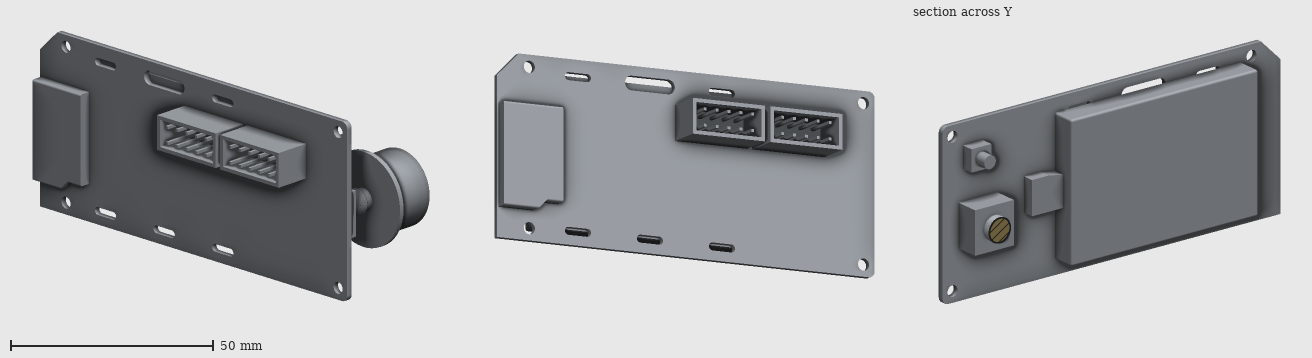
import cadquery as cq
import math


BOARD_LENGTH = 105.0
BOARD_HEIGHT = 47.0
BOARD_THICKNESS = 1.6
CORNER_CUT = 6.0
CORNER_RADIUS = 1.7
HOLE_DIAMETER = 3.1
HOLE_INSET_LEFT = 8.9
HOLE_INSET_RIGHT = 3.1
HOLE_INSET_Z = 3.1
FRONT_Y = -BOARD_THICKNESS

SLOT_LENGTH = 7.2
SLOT_WIDTH = 2.0
SLOT_MIDDLE_X = 42.5
SLOT_PITCH = 20.0
LOWER_SLOT_Z = 3.5
UPPER_SLOT_Z = 42.6
LONG_SLOT_LENGTH = 13.8
LONG_SLOT_WIDTH = 3.7

DISPLAY_LEFT = 11.9
DISPLAY_LENGTH = 58.1
DISPLAY_BOTTOM = 4.2
DISPLAY_TOP = 42.9
DISPLAY_DEPTH = 6.7
DISPLAY_FILLET = 0.6

BUZZER_LENGTH = 9.6
BUZZER_FLAT_LENGTH = 5.1
BUZZER_HEIGHT = 9.6
BUZZER_DEPTH = 3.2
BUZZER_SLOPE = 10.0

KNOB_X = 94.0
KNOB_Z = 20.0
ENCODER_SIDE = 12.0
ENCODER_DEPTH = 6.7
BUSHING_END = 13.5
BUSHING_RADIUS = 3.4
THREAD_PITCH = 0.5
THREAD_DEPTH = 0.2
RELIEF_RADIUS = 2.6
RELIEF_END = 14.1
SHAFT_RADIUS = 3.0
FLANGE_START = 15.8
FLANGE_END = 17.0
FLANGE_RADIUS = 12.5
SKIRT_RADIUS = 12.0
SKIRT_END = 19.6
GRIP_RADIUS = 10.1
KNOB_END = 29.2
KNOB_FILLET = 0.6

BUTTON_X = 95.6
BUTTON_Z = 37.8
BUTTON_SIDE = 6.2
BUTTON_BASE_DEPTH = 3.5
BUTTON_DIAMETER = 3.6
BUTTON_DEPTH = 7.0

CARD_LEFT = 0.3
CARD_RIGHT = 16.8
CARD_TOP = 34.0
CARD_BOTTOM = 7.7
CARD_STEP_Z = 9.9
CARD_STEP_START = 9.9
CARD_STEP_END = 12.1
CARD_DEPTH = 3.0
CARD_FILLET = 0.5

CONNECTOR_LENGTH = 20.0
CONNECTOR_HEIGHT = 9.0
CONNECTOR_DEPTH = 9.8
CONNECTOR_WALL = 1.0
CONNECTOR_Z = 33.7
CONNECTOR_CENTERS_X = (59.4, 80.9)
PIN_COLUMNS = 5
PIN_ROWS = 2
PIN_PITCH_X = 3.3
PIN_PITCH_Z = 4.2
PIN_SIDE = 0.7


def box_on(face_y, center_x, center_z, length, height, depth):
    """Block centred on (x, z) that starts at face_y; a negative depth grows toward -Y."""
    block = cq.Workplane("XY").box(length, abs(depth), height)
    return block.translate((center_x, face_y + depth / 2, center_z))


def face_points(*points):
    """Sketch plane on the display face of the board, carrying the given (x, z) points."""
    return cq.Workplane("XZ").pushPoints(points)


def make_board():
    board = (
        cq.Workplane("XZ")
        .polyline([
            (0, 0),
            (BOARD_LENGTH, 0),
            (BOARD_LENGTH, BOARD_HEIGHT),
            (CORNER_CUT, BOARD_HEIGHT),
            (0, BOARD_HEIGHT - CORNER_CUT),
        ])
        .close()
        .extrude(BOARD_THICKNESS)
        .edges("|Y and >X")
        .fillet(CORNER_RADIUS)
    )
    holes = [
        (x, z)
        for x in (HOLE_INSET_LEFT, BOARD_LENGTH - HOLE_INSET_RIGHT)
        for z in (HOLE_INSET_Z, BOARD_HEIGHT - HOLE_INSET_Z)
    ]
    slot_left = SLOT_MIDDLE_X - SLOT_PITCH
    slot_right = SLOT_MIDDLE_X + SLOT_PITCH
    slots = [(x, LOWER_SLOT_Z) for x in (slot_left, SLOT_MIDDLE_X, slot_right)]
    slots += [(x, UPPER_SLOT_Z) for x in (slot_left, slot_right)]
    board = board.cut(face_points(*holes).circle(HOLE_DIAMETER / 2).extrude(BOARD_THICKNESS))
    board = board.cut(face_points(*slots).slot2D(SLOT_LENGTH, SLOT_WIDTH).extrude(BOARD_THICKNESS))
    long_slot = face_points((SLOT_MIDDLE_X, UPPER_SLOT_Z)).slot2D(LONG_SLOT_LENGTH, LONG_SLOT_WIDTH)
    return board.cut(long_slot.extrude(BOARD_THICKNESS))


def make_display():
    display = box_on(
        0,
        DISPLAY_LEFT + DISPLAY_LENGTH / 2,
        (DISPLAY_BOTTOM + DISPLAY_TOP) / 2,
        DISPLAY_LENGTH,
        DISPLAY_TOP - DISPLAY_BOTTOM,
        DISPLAY_DEPTH,
    )
    return display.edges("|Y or >Y").fillet(DISPLAY_FILLET)


def make_buzzer():
    """Low block beside the display whose upper side falls gently toward the display."""
    left = DISPLAY_LEFT + DISPLAY_LENGTH
    right = left + BUZZER_LENGTH
    bottom = (BOARD_HEIGHT - BUZZER_HEIGHT) / 2
    top = bottom + BUZZER_HEIGHT
    slope_length = BUZZER_LENGTH - BUZZER_FLAT_LENGTH
    drop = slope_length * math.tan(math.radians(BUZZER_SLOPE))
    return (
        cq.Workplane("XZ")
        .polyline([
            (left, bottom),
            (right, bottom),
            (right, top),
            (left + slope_length, top),
            (left, top - drop),
        ])
        .close()
        .extrude(-BUZZER_DEPTH)
    )


def make_encoder():
    """Encoder body with its bushing (thread as plain ring grooves), shaft and knob, all on one axis."""
    thread_root = BUSHING_RADIUS - THREAD_DEPTH
    groove_count = math.floor((BUSHING_END - ENCODER_DEPTH) / THREAD_PITCH)
    profile = cq.Workplane("XY").moveTo(0, 0).lineTo(BUSHING_RADIUS, 0)
    thread_start = BUSHING_END - groove_count * THREAD_PITCH
    profile = profile.lineTo(BUSHING_RADIUS, thread_start)
    for groove in range(groove_count):
        y = thread_start + groove * THREAD_PITCH
        profile = profile.lineTo(thread_root, y + THREAD_PITCH / 2)
        profile = profile.lineTo(BUSHING_RADIUS, y + THREAD_PITCH)
    turned = (
        profile.lineTo(RELIEF_RADIUS, BUSHING_END)
        .lineTo(RELIEF_RADIUS, RELIEF_END)
        .lineTo(SHAFT_RADIUS, RELIEF_END)
        .lineTo(SHAFT_RADIUS, FLANGE_START)
        .lineTo(FLANGE_RADIUS, FLANGE_START)
        .lineTo(FLANGE_RADIUS, FLANGE_END)
        .lineTo(SKIRT_RADIUS, FLANGE_END)
        .lineTo(GRIP_RADIUS, SKIRT_END)
        .lineTo(GRIP_RADIUS, KNOB_END)
        .lineTo(0, KNOB_END)
        .close()
        .revolve(360, (0, 0, 0), (0, 1, 0))
        .faces(">Y")
        .edges()
        .fillet(KNOB_FILLET)
        .translate((KNOB_X, 0, KNOB_Z))
    )
    return box_on(0, KNOB_X, KNOB_Z, ENCODER_SIDE, ENCODER_SIDE, ENCODER_DEPTH).union(turned)


def make_button():
    base = box_on(0, BUTTON_X, BUTTON_Z, BUTTON_SIDE, BUTTON_SIDE, BUTTON_BASE_DEPTH)
    plunger = face_points((BUTTON_X, BUTTON_Z)).circle(BUTTON_DIAMETER / 2).extrude(-BUTTON_DEPTH)
    return base.union(plunger)


def make_card_holder():
    return (
        cq.Workplane("XZ", origin=(0, FRONT_Y, 0))
        .polyline([
            (CARD_LEFT, CARD_BOTTOM),
            (CARD_STEP_START, CARD_BOTTOM),
            (CARD_STEP_END, CARD_STEP_Z),
            (CARD_RIGHT, CARD_STEP_Z),
            (CARD_RIGHT, CARD_TOP),
            (CARD_LEFT, CARD_TOP),
        ])
        .close()
        .extrude(CARD_DEPTH)
        .faces("<Y")
        .edges("|X")
        .fillet(CARD_FILLET)
    )


def make_connector(center_x):
    """Open-fronted shroud with two rows of pins that end flush with its rim."""
    opening_length = CONNECTOR_LENGTH - 2 * CONNECTOR_WALL
    opening_height = CONNECTOR_HEIGHT - 2 * CONNECTOR_WALL
    shroud = box_on(FRONT_Y, center_x, CONNECTOR_Z, CONNECTOR_LENGTH, CONNECTOR_HEIGHT, -CONNECTOR_DEPTH)
    opening = box_on(FRONT_Y, center_x, CONNECTOR_Z, opening_length, opening_height, -CONNECTOR_DEPTH)
    pins = (
        cq.Workplane("XZ", origin=(center_x, FRONT_Y, CONNECTOR_Z))
        .rarray(PIN_PITCH_X, PIN_PITCH_Z, PIN_COLUMNS, PIN_ROWS)
        .rect(PIN_SIDE, PIN_SIDE)
        .extrude(CONNECTOR_DEPTH)
    )
    return shroud.cut(opening).union(pins)


result = make_board()
for component in (make_display(), make_buzzer(), make_encoder(), make_button(), make_card_holder()):
    result = result.union(component)
for connector_x in CONNECTOR_CENTERS_X:
    result = result.union(make_connector(connector_x))